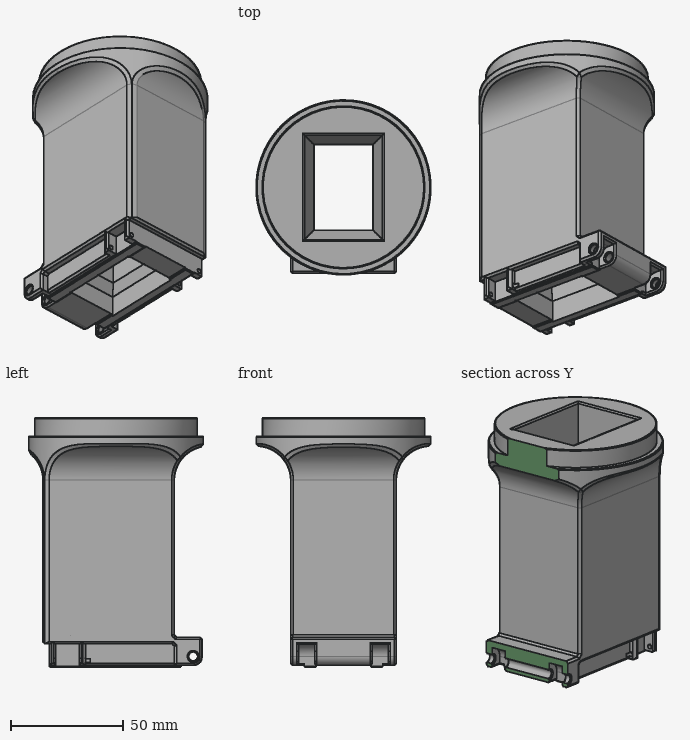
import cadquery as cq
height = 111.2
collar_diameter = 78.0
spigot_diameter = 72.5
shoulder_z = 103.0
rim_chamfer = 0.5

body_half_width = 23.6
body_front_y = -26.0
body_back_y = 32.6
body_bottom_z = 10.3
flare_start_z = 83.4
flare_radius = 15.0
corner_chamfer = 1.2
edge_chamfer = 1.0
fine_chamfer = 0.8

bore_width = 34.7
bore_length = 46.5
throat_inset = 4.2
throat_top_z = body_bottom_z
taper_height = 11.9

hinge_top_z = 13.4
hinge_bottom_z = 0.8
pin_y = -34.4
pin_z = 4.8
pin_diameter = 4.0
pin_countersink = 0.6
knuckle_radius = pin_z - hinge_bottom_z
hinge_front_y = pin_y - knuckle_radius
notch_inner_x = 12.8
notch_outer_x = 20.0
notch_radius = 5.3

skirt_half_width = notch_outer_x
core_half_width = 17.6
core_back_y = 29.7
core_front_y = pin_y + notch_radius
rail_inner_x = 12.1
rail_chamfer = 0.5

tab_half_width = 23.0
tab_length = 2.8
front_tab_y = 13.6
latch_hole_diameter = 2.0
latch_hole_x = 20.6
latch_hole_z = 3.0
latch_hole_front_y = 11.6

overlap = 1.1


def block(x0, x1, y0, y1, z0, z1):
    """Axis-aligned box between two corners."""
    return cq.Workplane("XY").box(x1 - x0, y1 - y0, z1 - z0, centered=False).translate((x0, y0, z0))


def flared_prism(plane, low, high, half_depth):
    """Straight walls at low and high that flare outwards in quarter arcs below the collar."""
    flare_top_z = flare_start_z + flare_radius
    bend = flare_radius * (1 - 0.5 ** 0.5)
    rise = flare_radius * 0.5 ** 0.5
    return (
        cq.Workplane(plane)
        .moveTo(low, body_bottom_z)
        .lineTo(high, body_bottom_z)
        .lineTo(high, flare_start_z)
        .threePointArc((high + bend, flare_start_z + rise), (high + flare_radius, flare_top_z))
        .lineTo(high + 2 * flare_radius, flare_top_z)
        .lineTo(high + 2 * flare_radius, shoulder_z)
        .lineTo(low - 2 * flare_radius, shoulder_z)
        .lineTo(low - 2 * flare_radius, flare_top_z)
        .lineTo(low - flare_radius, flare_top_z)
        .threePointArc((low - bend, flare_start_z + rise), (low, flare_start_z))
        .close()
        .extrude(half_depth, both=True)
    )


def make_body():
    """Rectangular tube that flares into the round collar and carries the spigot."""
    collar = cq.Workplane("XY").circle(collar_diameter / 2).extrude(shoulder_z)
    body = (
        flared_prism("XZ", -body_half_width, body_half_width, collar_diameter)
        .intersect(flared_prism("YZ", body_front_y, body_back_y, collar_diameter))
        .faces("<Z")
        .edges("not <Y")
        .chamfer(edge_chamfer)
        .intersect(collar)
    )
    flare_top_z = flare_start_z + flare_radius
    outline_zone = cq.selectors.BoxSelector(
        (-collar_diameter, -collar_diameter, body_bottom_z + 2 * overlap),
        (collar_diameter, collar_diameter, flare_top_z + overlap),
    )
    body = body.edges("not(|X or |Y)").edges(outline_zone).chamfer(corner_chamfer)
    body = body.faces(">Z").chamfer(rim_chamfer)
    spigot = (
        cq.Workplane("XY", origin=(0, 0, shoulder_z - overlap))
        .circle(spigot_diameter / 2)
        .extrude(height - shoulder_z + overlap)
        .faces(">Z")
        .chamfer(rim_chamfer)
    )
    return body.union(spigot)


def make_hinge():
    """Bar across the front foot, rounded about the pin, with sloping corners against the body."""
    tie_back_y = body_front_y + edge_chamfer + 2 * overlap
    tie_top_z = hinge_top_z + edge_chamfer
    diagonal = knuckle_radius * 0.5 ** 0.5
    bar = (
        cq.Workplane("YZ")
        .moveTo(pin_y, hinge_bottom_z)
        .threePointArc((pin_y - diagonal, pin_z - diagonal), (hinge_front_y, pin_z))
        .lineTo(hinge_front_y, hinge_top_z)
        .lineTo(body_front_y - edge_chamfer, hinge_top_z)
        .lineTo(body_front_y, tie_top_z)
        .lineTo(tie_back_y, tie_top_z)
        .lineTo(tie_back_y, body_bottom_z)
        .lineTo(body_front_y + edge_chamfer, body_bottom_z)
        .lineTo(body_front_y, body_bottom_z - edge_chamfer)
        .lineTo(body_front_y, hinge_bottom_z)
        .close()
        .extrude(body_half_width, both=True)
    )
    exposed_zone = cq.selectors.BoxSelector(
        (-collar_diameter, hinge_front_y - overlap, 0),
        (collar_diameter, tie_back_y - overlap / 2, tie_top_z - edge_chamfer / 4),
    )
    bar = bar.faces("<X or >X").edges(exposed_zone).chamfer(edge_chamfer)
    return bar.faces("<Y").edges(">Z").chamfer(edge_chamfer)


def make_notch(side):
    """Hinge clearance: rounded about the pin at its inner top corner, open below and in front."""
    low_z = -overlap
    top_z = pin_z + notch_radius
    diagonal = notch_radius * 0.5 ** 0.5
    front_y = hinge_front_y - overlap
    middle_x = side * (notch_inner_x + notch_outer_x) / 2
    half_width = (notch_outer_x - notch_inner_x) / 2
    return (
        cq.Workplane("YZ", origin=(middle_x, 0, 0))
        .moveTo(front_y, low_z)
        .lineTo(front_y, top_z)
        .lineTo(pin_y, top_z)
        .threePointArc((pin_y + diagonal, pin_z + diagonal), (core_front_y, pin_z))
        .lineTo(core_front_y, low_z)
        .close()
        .extrude(half_width, both=True)
    )


def make_notched_hinge():
    """Hinge bar with two notches and the pin hole, all with bevelled rims."""
    hinge = make_hinge()
    for side in (-1, 1):
        hinge = hinge.cut(make_notch(side))
    margin = overlap / 4
    for low_x in (-notch_outer_x, notch_inner_x):
        high_x = low_x + notch_outer_x - notch_inner_x
        notch_zone = cq.selectors.BoxSelector(
            (low_x - margin, hinge_front_y - margin, hinge_bottom_z - margin),
            (high_x + margin, core_front_y + margin, hinge_top_z),
        )
        hinge = hinge.faces("<Y or <Z").edges(notch_zone).chamfer(fine_chamfer)

    pin_hole = (
        cq.Workplane("YZ", origin=(-body_half_width, pin_y, pin_z))
        .circle(pin_diameter / 2)
        .extrude(2 * body_half_width)
    )
    pin_zone = cq.selectors.BoxSelector(
        (-body_half_width - margin, pin_y - margin, pin_z - margin),
        (body_half_width + margin, pin_y + margin, pin_z + margin),
    )
    return hinge.cut(pin_hole).edges("%CIRCLE").edges(pin_zone).chamfer(pin_countersink)


def make_skirt():
    """Inset walls below the body, with a narrower core at the back that carries the rails."""
    skirt_top_z = body_bottom_z + overlap
    skirt = block(
        -skirt_half_width, skirt_half_width, body_front_y - overlap, front_tab_y, hinge_bottom_z, skirt_top_z
    )
    skirt = skirt.faces("<Z").edges("|Y").chamfer(edge_chamfer)
    core = block(-core_half_width, core_half_width, core_front_y, core_back_y, hinge_bottom_z, skirt_top_z)
    skirt = skirt.union(core)
    for low_x in (-core_half_width, rail_inner_x):
        rail_width = core_half_width - rail_inner_x
        rail = block(low_x, low_x + rail_width, core_front_y, core_back_y, 0, hinge_bottom_z + overlap)
        skirt = skirt.union(rail.faces("<Z").chamfer(rail_chamfer))
    return skirt


def make_tab_pair(back_y, back_chamfer, front_chamfer):
    """Cross rib whose ends form a latch tab on each side of the core."""
    front_y = back_y - tab_length
    rib = block(-tab_half_width, tab_half_width, front_y, back_y, hinge_bottom_z, body_bottom_z + overlap)
    rib = rib.edges("|Z and >Y").chamfer(back_chamfer)
    rib = rib.edges("|Z and <Y").chamfer(front_chamfer)
    return rib.faces("<Z").edges("<X or >X").chamfer(edge_chamfer)


def rectangular_frustum(low_z, low_inset, high_z, high_inset):
    """Four-sided frustum whose ends are the bore outline drawn in by the given insets."""
    return (
        cq.Workplane("XY", origin=(0, 0, low_z))
        .rect(bore_width - 2 * low_inset, bore_length - 2 * low_inset)
        .workplane(offset=high_z - low_z)
        .rect(bore_width - 2 * high_inset, bore_length - 2 * high_inset)
        .loft(ruled=True)
    )


def make_bore():
    """Straight rectangular bore, bevelled at the mouth and tapering to a straight throat."""
    taper_top_z = throat_top_z + taper_height
    lip_z = height - fine_chamfer
    throat = rectangular_frustum(-overlap, throat_inset, throat_top_z, throat_inset)
    taper = rectangular_frustum(throat_top_z, throat_inset, taper_top_z, 0)
    straight = rectangular_frustum(taper_top_z, 0, lip_z, 0)
    lip = rectangular_frustum(lip_z, 0, height, -fine_chamfer)
    return throat.union(taper).union(straight).union(lip)


def make_latch_hole(side):
    """Hole along Y through both latch tabs of one side, grooving the skirt in front of them."""
    return (
        cq.Workplane("XZ", origin=(side * latch_hole_x, latch_hole_front_y, latch_hole_z))
        .circle(latch_hole_diameter / 2)
        .extrude(latch_hole_front_y - core_back_y)
    )


result = make_body().union(make_notched_hinge()).union(make_skirt())
result = result.union(make_tab_pair(core_back_y, edge_chamfer, fine_chamfer))
result = result.union(make_tab_pair(front_tab_y + tab_length, fine_chamfer, corner_chamfer))
for side in (-1, 1):
    result = result.cut(make_latch_hole(side))
result = result.cut(make_bore())